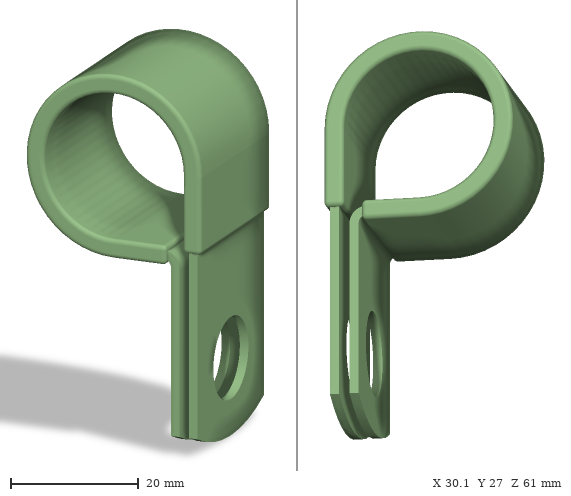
import cadquery as cq
import math

overall_height = 61.05

loop_diameter = 30.05
cushion_width = 27.0
cushion_thickness = 3.1
edge_radius = 0.75
upright_end_z = -12.7
flat_end_x = 9.05

strap_thickness = 1.45
strap_width = cushion_width - 2 * edge_radius
bend_radius = 2.1
leg_spacing = 3.1
leg_bottom_z = loop_diameter / 2 - overall_height
leg_end_rise = 3.0

hole_diameter = 13.5
hole_above_bottom = 12.7

outer_radius = loop_diameter / 2
middle_radius = outer_radius - cushion_thickness / 2
near_leg_x = middle_radius - leg_spacing


def extrude_profile(profile, width):
    """Extrude an XZ profile by equal amounts to both sides of the XZ plane."""
    return profile.extrude(width / 2, both=True)


def end_edges(body, face_center):
    """Edges around the face centred on the given point."""
    return body.faces(cq.selectors.NearestToPointSelector(face_center)).edges()


def make_cushion():
    """Three-quarter loop with an upright end on +X and a flat end below, rounded all over."""
    outer = outer_radius
    inner = outer_radius - cushion_thickness
    diagonal = math.sqrt(0.5)
    profile = (
        cq.Workplane("XZ")
        .moveTo(outer, upright_end_z)
        .lineTo(outer, 0)
        .threePointArc((-outer * diagonal, outer * diagonal), (0, -outer))
        .lineTo(flat_end_x, -outer)
        .lineTo(flat_end_x, -inner)
        .lineTo(0, -inner)
        .threePointArc((-inner * diagonal, inner * diagonal), (inner, 0))
        .lineTo(inner, upright_end_z)
        .close()
    )
    cushion = extrude_profile(profile, cushion_width)
    loop_rims = cushion.faces("<Y or >Y").edges()
    upright_end = end_edges(cushion, (middle_radius, 0, upright_end_z))
    flat_end = end_edges(cushion, (flat_end_x, 0, -middle_radius))
    return loop_rims.add(upright_end).add(flat_end).fillet(edge_radius)


def make_far_leg():
    """Straight leg that continues down from the upright end of the cushion."""
    profile = (
        cq.Workplane("XZ")
        .moveTo(middle_radius - strap_thickness / 2, leg_bottom_z)
        .lineTo(middle_radius + strap_thickness / 2, leg_bottom_z)
        .lineTo(middle_radius + strap_thickness / 2, 0)
        .lineTo(middle_radius - strap_thickness / 2, 0)
        .close()
    )
    return extrude_profile(profile, strap_width)


def make_near_leg():
    """Leg that leaves the flat end of the cushion and bends down."""
    outer_bend = bend_radius + strap_thickness / 2
    inner_bend = bend_radius - strap_thickness / 2
    bend_x = near_leg_x - bend_radius
    bend_z = -middle_radius - bend_radius
    profile = (
        cq.Workplane("XZ")
        .moveTo(near_leg_x + strap_thickness / 2, leg_bottom_z)
        .lineTo(near_leg_x + strap_thickness / 2, bend_z)
        .radiusArc((bend_x, bend_z + outer_bend), -outer_bend)
        .lineTo(0, bend_z + outer_bend)
        .lineTo(0, bend_z + inner_bend)
        .lineTo(bend_x, bend_z + inner_bend)
        .radiusArc((bend_x + inner_bend, bend_z), inner_bend)
        .lineTo(near_leg_x - strap_thickness / 2, leg_bottom_z)
        .close()
    )
    return extrude_profile(profile, strap_width)


def make_leg_outline():
    """Block along X with the rounded lower end and bolt hole shared by both legs."""
    half_width = strap_width / 2
    corner_z = leg_bottom_z + leg_end_rise
    return (
        cq.Workplane("YZ")
        .moveTo(-half_width, 0)
        .lineTo(-half_width, corner_z)
        .threePointArc((0, leg_bottom_z), (half_width, corner_z))
        .lineTo(half_width, 0)
        .close()
        .moveTo(0, leg_bottom_z + hole_above_bottom)
        .circle(hole_diameter / 2)
        .extrude(outer_radius)
    )


legs = make_far_leg().union(make_near_leg()).intersect(make_leg_outline())
result = make_cushion().union(legs)